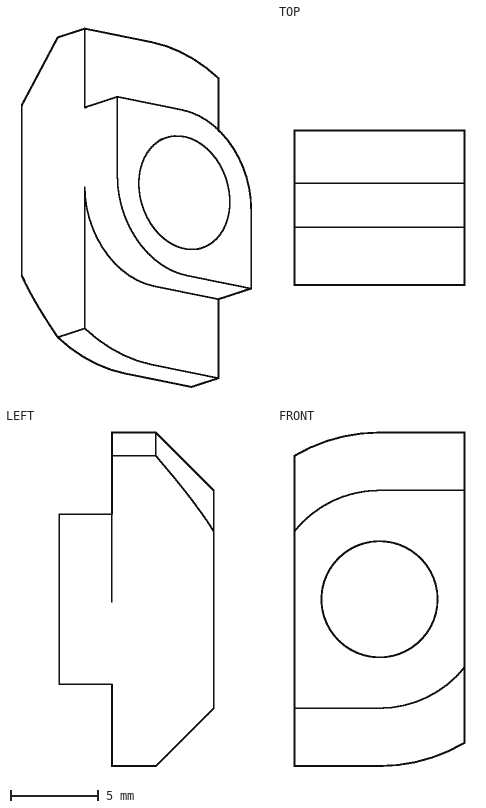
import cadquery as cq
import math

width = 9.7
head_length = 19.0
head_depth = 5.8
bevel = 3.3
neck_height = 3.0
neck_corner_radius = 5.0
hole_diameter = 6.6

half_width = width / 2
end_radius = head_length / 2
arc_end_z = math.sqrt(end_radius**2 - half_width**2)
arc_mid_angle = math.asin(half_width / end_radius) / 2
arc_mid_x = end_radius * math.sin(arc_mid_angle)
arc_mid_z = end_radius * math.cos(arc_mid_angle)



def make_head():
    """Half-turn symmetric head: two opposite corners rounded off by arcs, both ends bevelled."""
    outline = (
        cq.Workplane("XZ")
        .moveTo(half_width, end_radius)
        .lineTo(0, end_radius)
        .threePointArc((-arc_mid_x, arc_mid_z), (-half_width, arc_end_z))
        .lineTo(-half_width, -end_radius)
        .lineTo(0, -end_radius)
        .threePointArc((arc_mid_x, -arc_mid_z), (half_width, -arc_end_z))
        .close()
    )
    head = outline.extrude(head_depth)
    return head.faces("<Y").edges("not |Z").chamfer(bevel)


def make_neck():
    """Square neck with the two corners nearest the head's arcs rounded."""
    neck = cq.Workplane("XZ").rect(width, width).extrude(-neck_height)
    diagonal_corners = neck.edges("|Y").edges(">(1, 0, -1) or <(1, 0, -1)")
    return diagonal_corners.fillet(neck_corner_radius)


def make_hole():
    """Through hole along Y."""
    hole = cq.Workplane("XZ", origin=(0, neck_height, 0)).circle(hole_diameter / 2)
    return hole.extrude(neck_height + head_depth)


result = make_head().union(make_neck()).cut(make_hole())